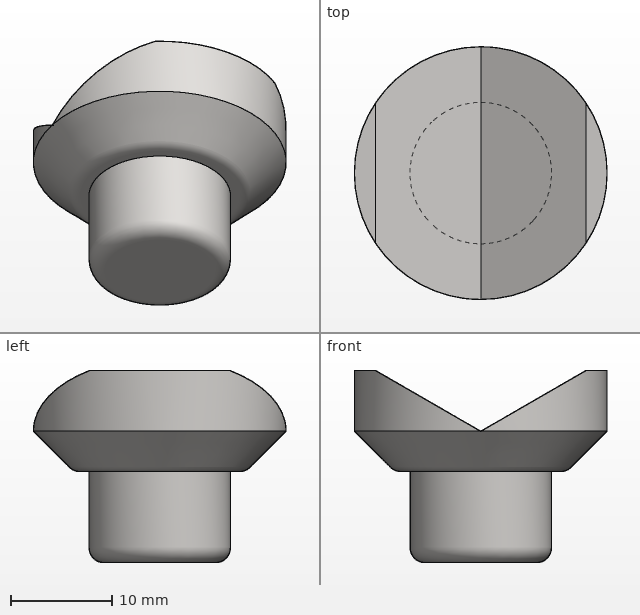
import cadquery as cq
import math

head_radius = 12.5
stem_radius = 7.0
stem_height = 9.0
cone_height = 4.0
groove_depth = 6.0
groove_slope = 30.0
edge_radius = 1.5

rim_z = stem_height + cone_height
top_z = rim_z + groove_depth

cone_bottom_radius = head_radius - cone_height
groove_half_width = groove_depth / math.tan(math.radians(groove_slope))


def make_stem():
    """Round stem with a rounded bottom edge, reaching up into the head."""
    stem = cq.Workplane("XY").circle(stem_radius).extrude(rim_z)
    return stem.faces("<Z").edges().fillet(edge_radius)


def make_head():
    """Round head with a conical underside and a rounded lower edge."""
    head = (
        cq.Workplane("XZ")
        .moveTo(0, stem_height)
        .lineTo(cone_bottom_radius, stem_height)
        .lineTo(head_radius, rim_z)
        .lineTo(head_radius, top_z)
        .lineTo(0, top_z)
        .close()
        .revolve(360, (0, 0, 0), (0, 1, 0))
    )
    return head.faces("<Z").edges().fillet(edge_radius)


def make_groove():
    """V-shaped cutter running along Y, with its bottom at the rim height."""
    return (
        cq.Workplane("XZ")
        .moveTo(0, rim_z)
        .lineTo(groove_half_width, top_z)
        .lineTo(-groove_half_width, top_z)
        .close()
        .extrude(head_radius, both=True)
    )


result = make_head().union(make_stem()).cut(make_groove())